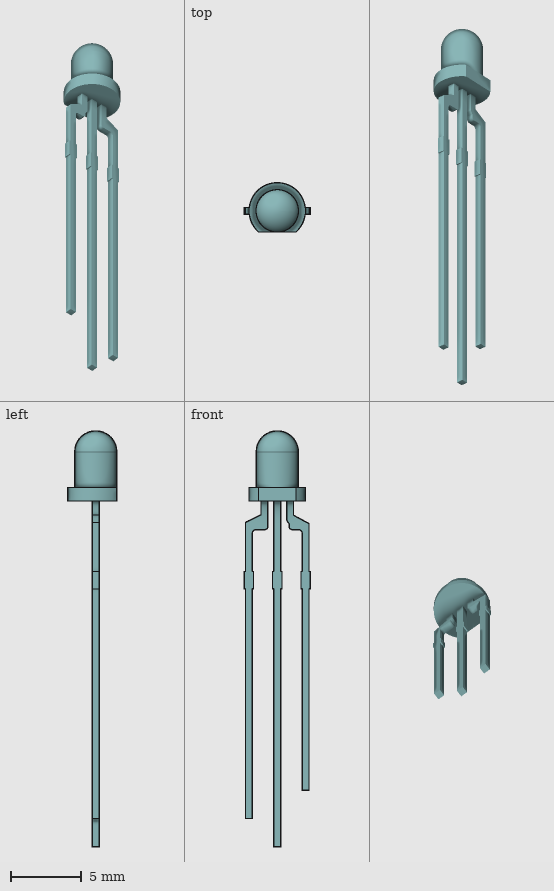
import cadquery as cq

total_height = 29.5
lens_height = 5.0
lens_radius = 1.5
flange_radius = 2.0
flange_height = 0.97

lead_width = 0.5
lead_thickness = 0.5
lead_pitch = 2.0
root_offset = 0.9
middle_length = total_height - lens_height
left_length = 22.5
right_length = 20.5

stop_width = 0.68
stop_top = -5.0
stop_bottom = -6.22

jog_bottom = -2.05
jog_fillet = 0.25
left_slope_top = -0.97
left_slope_bottom = -1.5
right_slope_top = -1.0
right_slope_bottom = -1.6
right_notch_top = -1.35
right_notch_bottom = -1.62
right_notch_depth = 0.18


def make_lens():
    """Domed cylinder on a flange whose flat is tangent to the cylinder at -Y."""
    dome_base = lens_height - lens_radius
    body = cq.Workplane("XY").circle(lens_radius).extrude(dome_base)
    dome = cq.Workplane("XY").sphere(lens_radius).translate((0, 0, dome_base))
    flange = cq.Workplane("XY").circle(flange_radius).extrude(flange_height)
    flat_keeper = (
        cq.Workplane("XY")
        .rect(2 * flange_radius, lens_radius + flange_radius)
        .extrude(flange_height)
        .translate((0, (flange_radius - lens_radius) / 2, 0))
    )
    return flange.intersect(flat_keeper).union(body).union(dome)


def extrude_strip(points):
    """Extrude an (X, Z) outline to the lead thickness, centred on Y = 0."""
    return cq.Workplane("XZ").polyline(points).close().extrude(lead_thickness / 2, both=True)


def make_stop(x):
    """Widened stretch of a lead centred at x."""
    left = x - stop_width / 2
    right = x + stop_width / 2
    return extrude_strip([(left, stop_top), (right, stop_top), (right, stop_bottom), (left, stop_bottom)])


def make_middle_lead():
    """Straight lead with its stop."""
    half = lead_width / 2
    strip = extrude_strip([(-half, 0), (half, 0), (half, -middle_length), (-half, -middle_length)])
    return strip.union(make_stop(0))


def make_outer_lead(side, length, slope_top, slope_bottom, notch_points):
    """Jogged lead; side is -1 or +1 and notch_points continue its inner edge down to the jog."""
    half = lead_width / 2
    root_inner = root_offset - half
    root_outer = root_offset + half
    leg_inner = lead_pitch - half
    leg_outer = lead_pitch + half
    inner_edge = [(root_inner, 0)] + notch_points
    jog_inner = inner_edge[-1][0]
    outline = inner_edge + [
        (jog_inner, jog_bottom),
        (leg_inner, jog_bottom),
        (leg_inner, -length),
        (leg_outer, -length),
        (leg_outer, slope_bottom),
        (root_outer, slope_top),
        (root_outer, 0),
    ]
    strip = extrude_strip([(side * x, z) for x, z in outline])
    for x in (jog_inner, leg_inner):
        corner = cq.selectors.NearestToPointSelector((side * x, 0, jog_bottom))
        strip = strip.edges("|Y").edges(corner).fillet(jog_fillet)
    return strip.union(make_stop(side * lead_pitch))


right_root_inner = root_offset - lead_width / 2
right_notch = [
    (right_root_inner, right_notch_top),
    (right_root_inner + right_notch_depth, right_notch_bottom),
]

lens = make_lens()
middle_lead = make_middle_lead()
left_lead = make_outer_lead(-1, left_length, left_slope_top, left_slope_bottom, [])
right_lead = make_outer_lead(1, right_length, right_slope_top, right_slope_bottom, right_notch)

result = cq.Compound.makeCompound([lens.val(), middle_lead.val(), left_lead.val(), right_lead.val()])